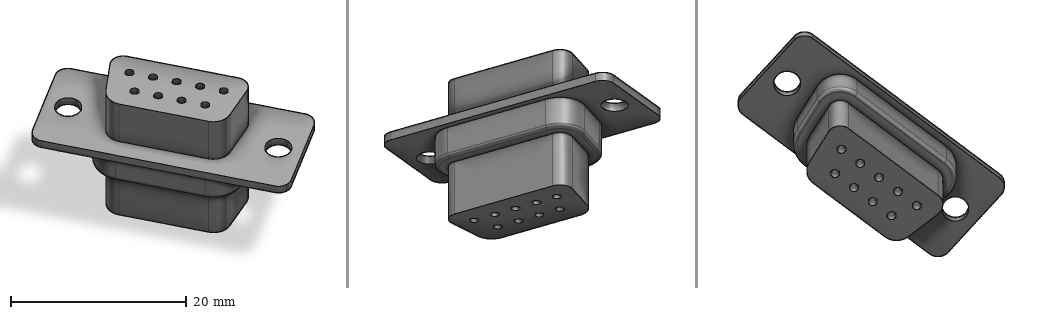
import cadquery as cq
import math

plate_length = 30.73
plate_width = 12.55
plate_thickness = 1.05
plate_corner_radius = 1.5

screw_hole_diameter = 3.07
screw_hole_spacing = 24.95

shell_depth = 7.93
shell_mid_width = 15.52
side_lean = 10.0
wide_corner_radius = 1.55
narrow_corner_radius = 2.1
overall_height = 17.35
height_above_plate = 5.87

collar_wall = 1.5
collar_height = 3.75
collar_edge_radius = 0.45

contact_diameter = 1.0
contact_pitch = 2.8
contact_row_spacing = 2.83
long_row_count = 5
short_row_count = 4

top_z = plate_thickness + height_above_plate
bottom_z = top_z - overall_height


def d_prism(wall, base_z, height):
    """D-shaped prism standing outside the shell outline by `wall`."""
    lean = math.radians(side_lean)
    half_depth = shell_depth / 2 + wall
    half_mid = shell_mid_width / 2 + wall / math.cos(lean)
    half_change = half_depth * math.tan(lean)
    half_wide = half_mid + half_change
    half_narrow = half_mid - half_change
    corners = [
        (-half_narrow, -half_depth),
        (half_narrow, -half_depth),
        (half_wide, half_depth),
        (-half_wide, half_depth),
    ]
    base = cq.Workplane("XY").workplane(offset=base_z)
    prism = base.polyline(corners).close().extrude(height)
    prism = prism.edges("|Z and >Y").fillet(wide_corner_radius + wall)
    return prism.edges("|Z and <Y").fillet(narrow_corner_radius + wall)


def mounting_plate():
    """Flat rounded plate with a screw hole at each end."""
    plate = cq.Workplane("XY").box(
        plate_length, plate_width, plate_thickness, centered=(True, True, False)
    )
    plate = plate.edges("|Z").fillet(plate_corner_radius)
    hole_centres = plate.faces(">Z").workplane().rarray(screw_hole_spacing, 0.3, 2, 1)
    return hole_centres.hole(screw_hole_diameter)


def collar():
    """Rounded-edge step that surrounds the shell below the plate."""
    body = d_prism(collar_wall, -collar_height, collar_height)
    return body.faces("<Z").edges().fillet(collar_edge_radius)


def contact_row(count, row_y):
    """Cutters for one row of contact holes through the full height."""
    return (
        cq.Workplane("XY")
        .workplane(offset=bottom_z)
        .center(0, row_y)
        .rarray(contact_pitch, 0.3, count, 1)
        .circle(contact_diameter / 2)
        .extrude(overall_height)
    )


shell = d_prism(0, bottom_z, overall_height)
long_row = contact_row(long_row_count, contact_row_spacing / 2)
short_row = contact_row(short_row_count, -contact_row_spacing / 2)

result = mounting_plate().union(collar()).union(shell).cut(long_row).cut(short_row)